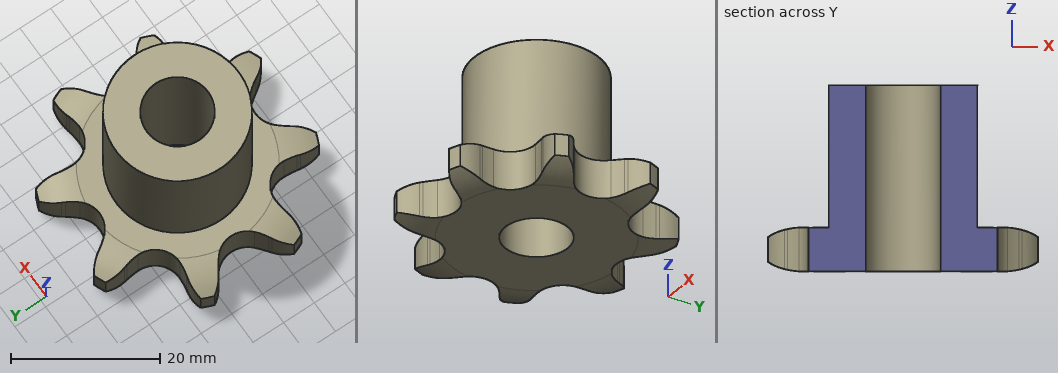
import cadquery as cq
import math

total_height = 25.0
plate_thickness = 5.95
hub_diameter = 20.0
bore_diameter = 10.0

tooth_count = 8
pitch_radius = 16.6
seating_radius = 3.9
seating_turn = 47.5
working_radius = 10.15
working_turn = 11.0
straight_length = 0.5
topping_radius = 6.65
topping_turn = 35.0

tip_radius = 19.25
tip_thickness = 3.35
crown_start_radius = 13.62

tooth_pitch = 360 / tooth_count
root_radius = pitch_radius - seating_radius


def polar(radius, angle):
    return (radius * math.cos(math.radians(angle)), radius * math.sin(math.radians(angle)))


def step(point, distance, heading):
    dx, dy = polar(distance, heading)
    return (point[0] + dx, point[1] + dy)


def arc_end(start, heading, radius, turn):
    """Point reached along an arc tangent to heading; a positive turn is to the left."""
    chord = 2 * radius * math.sin(math.radians(abs(turn) / 2))
    return step(start, chord, heading + turn / 2)


def add_arc(path, start, heading, radius, turn):
    """Append the arc to the path; return the path, its end point and its end heading."""
    middle = arc_end(start, heading, radius, turn / 2)
    end = arc_end(start, heading, radius, turn)
    return path.threePointArc(middle, end), end, heading + turn


def tooth_half():
    """Half a tooth above the +X axis, from the gullet bottom to the tooth centreline."""
    gullet_angle = tooth_pitch / 2
    point = polar(root_radius, gullet_angle)
    heading = gullet_angle - 90
    path = cq.Workplane("XY").moveTo(0, 0).lineTo(*point)
    path, point, heading = add_arc(path, point, heading, seating_radius, seating_turn)
    path, point, heading = add_arc(path, point, heading, working_radius, working_turn)
    point = step(point, straight_length, heading)
    path = path.lineTo(*point)
    path, point, heading = add_arc(path, point, heading, topping_radius, -topping_turn)
    return path.lineTo(point[0], 0).close().extrude(plate_thickness)


def crowned_disc():
    """Disc whose faces curve, tangent to the flat middle, down to the thinner tip."""
    drop = (plate_thickness - tip_thickness) / 2
    run = tip_radius - crown_start_radius
    crown_radius = (run**2 + drop**2) / (2 * drop)
    half_sweep = math.asin(run / crown_radius) / 2
    mid_radius = crown_start_radius + crown_radius * math.sin(half_sweep)
    mid_drop = crown_radius * (1 - math.cos(half_sweep))
    return (
        cq.Workplane("XZ")
        .moveTo(0, 0)
        .lineTo(crown_start_radius, 0)
        .threePointArc((mid_radius, mid_drop), (tip_radius, drop))
        .lineTo(tip_radius, plate_thickness - drop)
        .threePointArc((mid_radius, plate_thickness - mid_drop), (crown_start_radius, plate_thickness))
        .lineTo(0, plate_thickness)
        .close()
        .revolve(360, (0, 0, 0), (0, 1, 0))
    )


def toothed_plate():
    half = tooth_half()
    tooth = half.union(half.mirror("XZ"))
    plate = cq.Workplane("XY").circle(hub_diameter / 2).extrude(plate_thickness)
    for index in range(tooth_count):
        plate = plate.union(tooth.rotate((0, 0, 0), (0, 0, 1), (index + 0.5) * tooth_pitch))
    return plate.intersect(crowned_disc())


hub = cq.Workplane("XY").circle(hub_diameter / 2).extrude(total_height)
bore = cq.Workplane("XY").circle(bore_diameter / 2).extrude(total_height)

result = toothed_plate().union(hub).cut(bore)